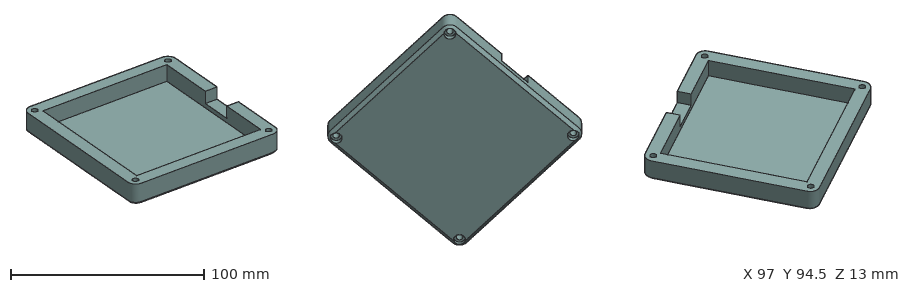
import cadquery as cq

length = 97.0
width = 94.5
height = 13.0
corner_radius = 5.0
bottom_chamfer = 2.0

wall = 7.6
floor_thickness = 3.0

hole_diameter = 3.4
hole_inset = 4.6
head_diameter = 6.0
head_depth = 3.0

notch_width = 18.6
notch_offset = 2.0
notch_depth = 7.4


def make_body():
    """Rounded block with a chamfered bottom edge."""
    block = cq.Workplane("XY").box(length, width, height, centered=(True, True, False))
    return block.edges("|Z").fillet(corner_radius).faces("<Z").chamfer(bottom_chamfer)


def make_pocket():
    """Rectangular cavity, open at the top."""
    return (
        cq.Workplane("XY")
        .workplane(offset=floor_thickness)
        .rect(length - 2 * wall, width - 2 * wall)
        .extrude(height - floor_thickness)
    )


def corner_cylinders(diameter, depth):
    """Cylinders rising from the underside, one near each corner."""
    return (
        cq.Workplane("XY")
        .rect(length - 2 * hole_inset, width - 2 * hole_inset, forConstruction=True)
        .vertices()
        .circle(diameter / 2)
        .extrude(depth)
    )


def make_screw_holes():
    """Through holes with head recesses that break into the bottom chamfer."""
    shafts = corner_cylinders(hole_diameter, height)
    return shafts.union(corner_cylinders(head_diameter, head_depth))


def make_notch():
    """Opening from the pocket through the +Y wall, cut down from the rim."""
    return (
        cq.Workplane("XY")
        .workplane(offset=height - notch_depth)
        .center(notch_offset, (width - wall) / 2)
        .rect(notch_width, wall)
        .extrude(notch_depth)
    )


result = make_body().cut(make_pocket()).cut(make_screw_holes()).cut(make_notch())